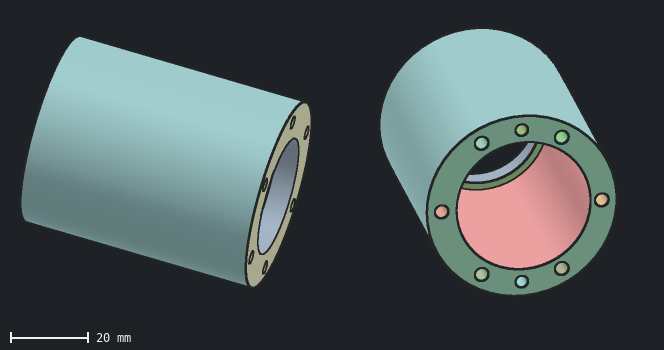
import cadquery as cq
import math

length = 61.8
outer_diameter = 50.0

edge_break = 0.2

bore_diameter = 35.0
bore_offset_y = -0.5
opening_diameter = 31.0
lip_thickness = 6.2
bore_depth = length - lip_thickness

pitch_radius = 21.0
screw_hole_diameter = 3.4
screw_hole_count = 6
blind_hole_diameter = 3.0
blind_hole_depth = 9.9
drill_point_angle = 118.0


def hole_cutter(diameter, depth, start_x=0.0, y=0.0, z=0.0, point_length=0.0):
    """Round cutter along +X with a chamfered mouth and an optional conical tip."""
    radius = diameter / 2
    profile = [
        (0, 0),
        (0, radius + edge_break),
        (edge_break, radius),
        (depth, radius),
        (depth + point_length, 0),
    ]
    cutter = cq.Workplane("XY").polyline(profile).close().revolve(360, (0, 0, 0), (1, 0, 0))
    return cutter.translate((start_x, y, z))


sleeve = cq.Workplane("YZ").circle(outer_diameter / 2).extrude(length)
sleeve = sleeve.edges("%CIRCLE").chamfer(edge_break)

sleeve = sleeve.cut(hole_cutter(bore_diameter, bore_depth, y=bore_offset_y))
sleeve = sleeve.cut(hole_cutter(opening_diameter, lip_thickness, start_x=bore_depth, y=bore_offset_y))

for index in range(screw_hole_count):
    angle = math.radians(index * 360 / screw_hole_count)
    hole_y = pitch_radius * math.cos(angle)
    hole_z = pitch_radius * math.sin(angle)
    sleeve = sleeve.cut(hole_cutter(screw_hole_diameter, length, y=hole_y, z=hole_z))

drill_point_length = blind_hole_diameter / 2 / math.tan(math.radians(drill_point_angle / 2))
for hole_z in (pitch_radius, -pitch_radius):
    blind_hole = hole_cutter(
        blind_hole_diameter, blind_hole_depth, z=hole_z, point_length=drill_point_length
    )
    sleeve = sleeve.cut(blind_hole)

result = sleeve